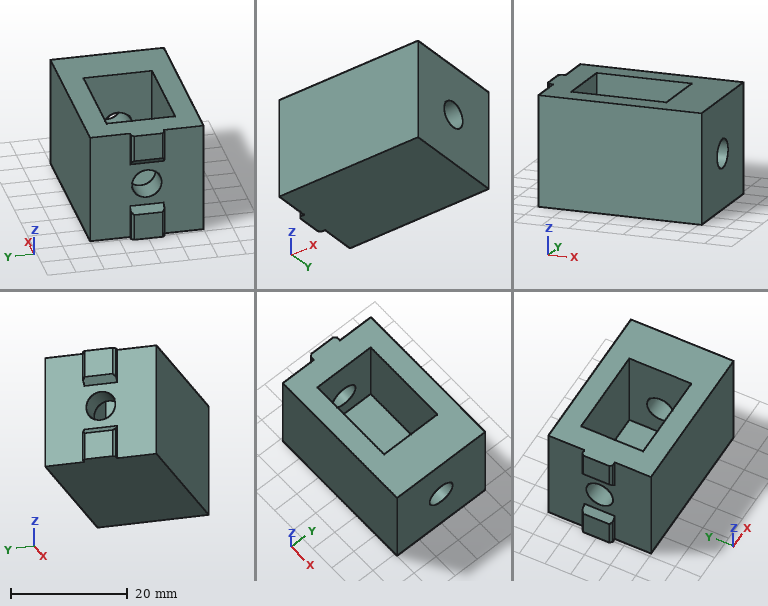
import cadquery as cq

total_length = 31.2
side = 20.0
rib_height = 1.2
rib_width = 5.93
rib_length = 6.0
rib_edge_chamfer = 0.45

pocket_end_wall = 4.52
pocket_length = 17.5
pocket_width = 12.07
bore_diameter = 5.2

body_length = total_length - rib_height
half_side = side / 2
pocket_side_wall = (side - pocket_width) / 2
pocket_floor = pocket_side_wall
pocket_depth = side - pocket_floor


def make_body():
    """Block with its ribbed face on X = 0, centred on Y and Z."""
    return cq.Workplane("XY").box(body_length, side, side, centered=(False, True, True))


def make_pocket():
    """Rectangular pocket, open at the top face and closed by a floor."""
    return (
        cq.Workplane("XY", origin=(pocket_end_wall, 0, half_side - pocket_depth))
        .box(pocket_length, pocket_width, pocket_depth, centered=(False, True, False))
    )


def make_bore():
    """Round bore along X through both end walls."""
    return cq.Workplane("YZ").circle(bore_diameter / 2).extrude(body_length)


def make_upper_rib():
    """Rib from the top face toward the bore, with a 45 degree sloped inner end."""
    foot_z = half_side - rib_length
    side_outline = [
        (0, half_side),
        (0, foot_z),
        (-rib_height, foot_z + rib_height),
        (-rib_height, half_side),
    ]
    rib = (
        cq.Workplane("XZ")
        .polyline(side_outline)
        .close()
        .extrude(rib_width / 2, both=True)
    )
    return rib.faces("<X").edges("|Z").chamfer(rib_edge_chamfer)


upper_rib = make_upper_rib()
lower_rib = upper_rib.mirror("XY")

result = (
    make_body()
    .union(upper_rib)
    .union(lower_rib)
    .cut(make_pocket())
    .cut(make_bore())
)